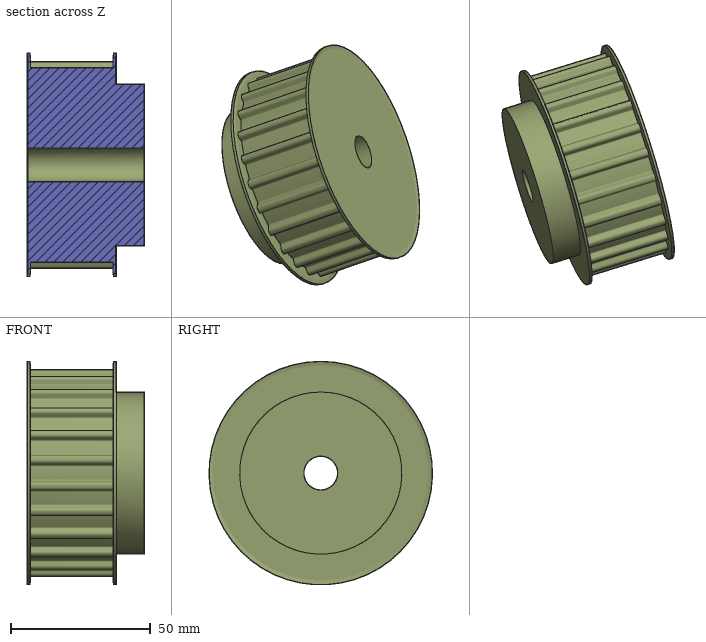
import cadquery as cq
import math


tooth_count = 24
tip_radius = 74.55 / 2
gap_depth = 2.4
floor_half_width = 2.7
flank_angle = math.radians(25)
root_fillet = 0.5
tip_fillet = 1.2

flange_radius = 40.0
sheet_thickness = 1.0
dish_radius = 38.5
dish_depth = 0.3
flange_bore_radius = 31.0
rim_span = 32.0

hub_radius = 29.0
overall_length = 42.0
bore_radius = 6.0

root_radius = tip_radius - gap_depth
pitch_angle = 2 * math.pi / tooth_count
flange_inner_face = dish_depth + sheet_thickness
toothed_length = rim_span - 2 * flange_inner_face


def fillet_centre(flank_offset, axis_distance):
    """Point at a given distance from the axis and from the flank line (positive into the gap).

    The gap centre line is the first coordinate and the flank lies on its positive side.
    """
    sine, cosine = math.sin(flank_angle), math.cos(flank_angle)
    across = root_radius * sine - floor_half_width * cosine + flank_offset
    along = math.sqrt(axis_distance**2 - across**2)
    return cq.Vector(along * cosine + across * sine, along * sine - across * cosine)


def flank_points():
    """Corner and arc points of one tooth flank, from the gap floor out to the tooth tip."""
    into_gap = cq.Vector(math.sin(flank_angle), -math.cos(flank_angle))

    root_centre = fillet_centre(root_fillet, root_radius + root_fillet)
    root_inward = -root_centre.normalized()
    root_middle = (root_inward - into_gap).normalized()

    tip_centre = fillet_centre(-tip_fillet, tip_radius - tip_fillet)
    tip_outward = tip_centre.normalized()
    tip_middle = (tip_outward + into_gap).normalized()

    return [
        root_centre + root_inward * root_fillet,
        root_centre + root_middle * root_fillet,
        root_centre - into_gap * root_fillet,
        tip_centre + into_gap * tip_fillet,
        tip_centre + tip_middle * tip_fillet,
        tip_centre + tip_outward * tip_fillet,
    ]


def turned(point, angle):
    """Point turned about the axis."""
    return (
        point.x * math.cos(angle) - point.y * math.sin(angle),
        point.x * math.sin(angle) + point.y * math.cos(angle),
    )


def make_toothed_rim():
    """Toothed length between the flanges, with a gap centred on +Y."""
    flank = flank_points()
    mirrored_flank = [cq.Vector(point.x, -point.y) for point in reversed(flank)]
    floor_middle = cq.Vector(root_radius, 0)
    tip_middle = cq.Vector(tip_radius, 0)

    outline = cq.Workplane("YZ", origin=(flange_inner_face, 0, 0))
    outline = outline.moveTo(mirrored_flank[-1].x, mirrored_flank[-1].y)
    for gap in range(tooth_count):
        angle = gap * pitch_angle
        floor_start, root_arc, flank_start, flank_end, tip_arc, tip_start = [
            turned(point, angle) for point in flank
        ]
        tip_end, next_tip_arc, next_flank_end, next_flank_start, next_root_arc, next_floor = [
            turned(point, angle + pitch_angle) for point in mirrored_flank
        ]
        outline = (
            outline.threePointArc(turned(floor_middle, angle), floor_start)
            .threePointArc(root_arc, flank_start)
            .lineTo(*flank_end)
            .threePointArc(tip_arc, tip_start)
            .threePointArc(turned(tip_middle, angle + pitch_angle / 2), tip_end)
            .threePointArc(next_tip_arc, next_flank_end)
            .lineTo(*next_flank_start)
            .threePointArc(next_root_arc, next_floor)
        )
    return outline.close().extrude(toothed_length)


def revolve_about_axis(profile_points):
    """Solid of revolution about X from (x, radius) points."""
    profile = cq.Workplane("XZ").polyline(profile_points).close()
    return profile.revolve(360, (0, 0, 0), (1, 0, 0))


def make_flange(rim_face, inward):
    """Dished sheet ring; inward is the X direction (+1 or -1) from its rim towards the teeth."""
    return revolve_about_axis([
        (rim_face, flange_radius),
        (rim_face + inward * dish_depth, dish_radius),
        (rim_face + inward * dish_depth, flange_bore_radius),
        (rim_face + inward * flange_inner_face, flange_bore_radius),
        (rim_face + inward * flange_inner_face, dish_radius),
        (rim_face + inward * sheet_thickness, flange_radius),
    ])


def make_core():
    """Solid spigots that carry the flanges, and the hub behind them."""
    spigot_start = dish_depth
    spigot_end = rim_span - dish_depth
    return revolve_about_axis([
        (spigot_start, 0),
        (spigot_start, flange_bore_radius),
        (spigot_end, flange_bore_radius),
        (spigot_end, hub_radius),
        (overall_length, hub_radius),
        (overall_length, 0),
    ])


def make_bore_cutter():
    """Cylinder that clears the full length of the pulley."""
    return cq.Workplane("YZ").circle(bore_radius).extrude(overall_length)


pulley = make_toothed_rim().union(make_core(), clean=False)
pulley = pulley.union(make_flange(0, 1), clean=False)
pulley = pulley.union(make_flange(rim_span, -1), clean=False)
result = pulley.cut(make_bore_cutter(), clean=False)